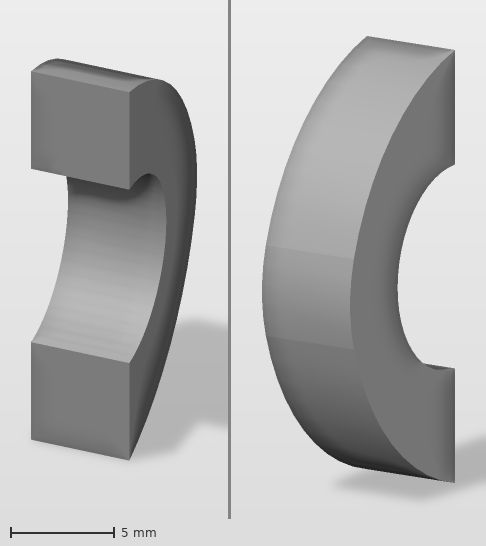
import cadquery as cq
import math

thickness = 5.08
height = 21.59
depth = 9.3
bore_radius = 5.08
crown_radius = 7.62
flank_radius = 12.7

half_height = height / 2
crown_center_y = depth - crown_radius


def upper_flank_center():
    """Centre of the arc that ends at the upper corner and is tangent to the crown."""
    center_gap = flank_radius - crown_radius
    corner_distance = math.hypot(crown_center_y, half_height)
    toward_y = -crown_center_y / corner_distance
    toward_z = half_height / corner_distance
    along = (center_gap**2 - flank_radius**2 + corner_distance**2) / (2 * corner_distance)
    across = math.sqrt(center_gap**2 - along**2)
    center_y = crown_center_y + along * toward_y - across * toward_z
    center_z = along * toward_z + across * toward_y
    return center_y, center_z


def make_profile():
    """Closed arch outline in the YZ plane, symmetric about Z = 0."""
    flank_y, flank_z = upper_flank_center()

    def flank_point(angle):
        return flank_y + flank_radius * math.cos(angle), flank_z + flank_radius * math.sin(angle)

    def mirrored(point):
        return point[0], -point[1]

    tangent_angle = math.atan2(-flank_z, crown_center_y - flank_y)
    corner_angle = math.atan2(half_height - flank_z, -flank_y)
    tangent_point = flank_point(tangent_angle)
    flank_middle = flank_point((tangent_angle + corner_angle) / 2)

    return (
        cq.Workplane("YZ")
        .moveTo(0, bore_radius)
        .lineTo(0, half_height)
        .threePointArc(flank_middle, tangent_point)
        .threePointArc((depth, 0), mirrored(tangent_point))
        .threePointArc(mirrored(flank_middle), (0, -half_height))
        .lineTo(0, -bore_radius)
        .threePointArc((bore_radius, 0), (0, bore_radius))
        .close()
    )


result = make_profile().extrude(thickness)